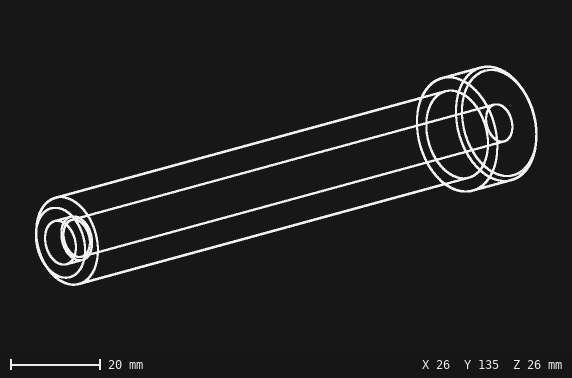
import cadquery as cq

total_length = 135.0
head_diameter = 26.0
head_length = 13.0
head_chamfer = 1.0
shank_diameter = 20.0
tip_chamfer = 2.0

bore_diameter = 8.5
tip_bore_diameter = 10.0
tip_bore_depth = 5.0

shank_length = total_length - head_length


def cylinder(diameter, start, length):
    """Cylinder about the Y axis, running from y = start towards +Y."""
    plane = cq.Workplane(cq.Plane(origin=(0, start, 0), xDir=(1, 0, 0), normal=(0, 1, 0)))
    return plane.circle(diameter / 2).extrude(length)


shank = cylinder(shank_diameter, 0, shank_length).faces("<Y").chamfer(tip_chamfer)
head = cylinder(head_diameter, shank_length, head_length).faces(">Y").chamfer(head_chamfer)
bore = cylinder(bore_diameter, 0, total_length)
tip_bore = cylinder(tip_bore_diameter, 0, tip_bore_depth)

result = shank.union(head).cut(bore).cut(tip_bore)